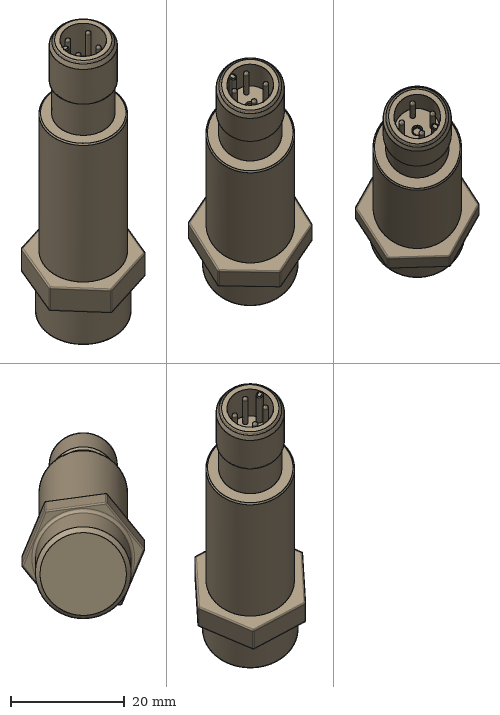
import cadquery as cq
import math

total_height = 69.1
hex_bottom = 10.1
hex_top = 15.95
body_top = 50.7
collar_bottom = 58.6

thread_radius = 8.4
thread_chamfer_width = 0.8
thread_chamfer_height = 0.8
thread_root_fillet = 0.6

across_flats = 19.0
hex_corner_fillet = 0.35
hex_rim_fillet = 0.3

body_radius = 7.8
body_chamfer = 0.3
neck_radius = 5.6

collar_radius = 6.0
collar_bottom_chamfer = collar_radius - neck_radius
rim_bevel_height = 1.3
rim_bevel_radius = 5.5
rim_bevel_drop = 0.4
rim_edge_radius = 5.3
rim_edge_drop = 0.3
rim_face_radius = 5.05

socket_radius = 4.1
socket_depth = 8.3
floor_height = total_height - socket_depth

pin_radius = 0.5
pin_tip_fillet = 0.45
pin_offset = 2.0
pin_drop = 0.6
center_hole_radius = 0.75
center_countersink = 0.2
center_hole_depth = 1.05

key_width = 1.1
key_reach = 1.2
key_drop = 0.35
key_top_chamfer = 0.2


def make_hexagon():
    """Hexagonal wrench section with rounded corners and lightly rounded rims."""
    corner_diameter = across_flats / math.cos(math.pi / 6)
    prism = (
        cq.Workplane("XY", origin=(0, 0, hex_bottom))
        .polygon(6, corner_diameter)
        .extrude(hex_top - hex_bottom)
    )
    return prism.edges("|Z").fillet(hex_corner_fillet).faces("|Z").edges().fillet(hex_rim_fillet)


def make_turned_body():
    """Everything round about the Z axis outside the socket, as one revolved profile."""
    thread_arc_inset = thread_root_fillet * (1 - math.sin(math.pi / 4))
    profile = (
        cq.Workplane("XZ")
        .lineTo(thread_radius - thread_chamfer_width, 0)
        .lineTo(thread_radius, thread_chamfer_height)
        .lineTo(thread_radius, hex_bottom - thread_root_fillet)
        .threePointArc(
            (thread_radius + thread_arc_inset, hex_bottom - thread_arc_inset),
            (thread_radius + thread_root_fillet, hex_bottom),
        )
        .lineTo(thread_radius + thread_root_fillet, hex_top)
        .lineTo(body_radius, hex_top)
        .lineTo(body_radius, body_top - body_chamfer)
        .lineTo(body_radius - body_chamfer, body_top)
        .lineTo(neck_radius, body_top)
        .lineTo(neck_radius, collar_bottom)
        .lineTo(collar_radius, collar_bottom + collar_bottom_chamfer)
        .lineTo(collar_radius, total_height - rim_bevel_height)
        .lineTo(rim_bevel_radius, total_height - rim_bevel_drop)
        .lineTo(rim_edge_radius, total_height - rim_edge_drop)
        .lineTo(rim_face_radius, total_height)
        .lineTo(0, total_height)
        .close()
    )
    return profile.revolve(360, (0, 0, 0), (0, 1, 0))


def make_socket():
    """Blind bore in the collar, with a shallow countersunk hole in its floor."""
    bore = cq.Workplane("XY", origin=(0, 0, floor_height)).circle(socket_radius).extrude(socket_depth)
    center_hole = (
        cq.Workplane("XY", origin=(0, 0, floor_height - center_hole_depth))
        .circle(center_hole_radius)
        .extrude(center_hole_depth)
    )
    countersink = (
        cq.Workplane("XY", origin=(0, 0, floor_height))
        .circle(center_hole_radius + center_countersink)
        .extrude(-center_countersink, taper=45)
    )
    return bore.union(center_hole).union(countersink)


def make_pins():
    """Four contact pins with domed tips, rooted in the socket floor."""
    root_depth = pin_radius
    pin_length = socket_depth - pin_drop + root_depth
    return (
        cq.Workplane("XY", origin=(0, 0, floor_height - root_depth))
        .rect(2 * pin_offset, 2 * pin_offset, forConstruction=True)
        .vertices()
        .circle(pin_radius)
        .extrude(pin_length)
        .faces(">Z")
        .edges()
        .fillet(pin_tip_fillet)
    )


def make_key():
    """Round-nosed coding rib standing on the socket wall."""
    nose_radius = key_width / 2
    wall_y = -(socket_radius + nose_radius)
    nose_y = -(socket_radius - key_reach)
    return (
        cq.Workplane("XY", origin=(0, 0, floor_height))
        .moveTo(-nose_radius, wall_y)
        .lineTo(nose_radius, wall_y)
        .lineTo(nose_radius, nose_y - nose_radius)
        .threePointArc((0, nose_y), (-nose_radius, nose_y - nose_radius))
        .close()
        .extrude(socket_depth - key_drop)
        .faces(">Z")
        .edges()
        .chamfer(key_top_chamfer)
    )


result = make_turned_body().union(make_hexagon()).cut(make_socket()).union(make_pins()).union(make_key())